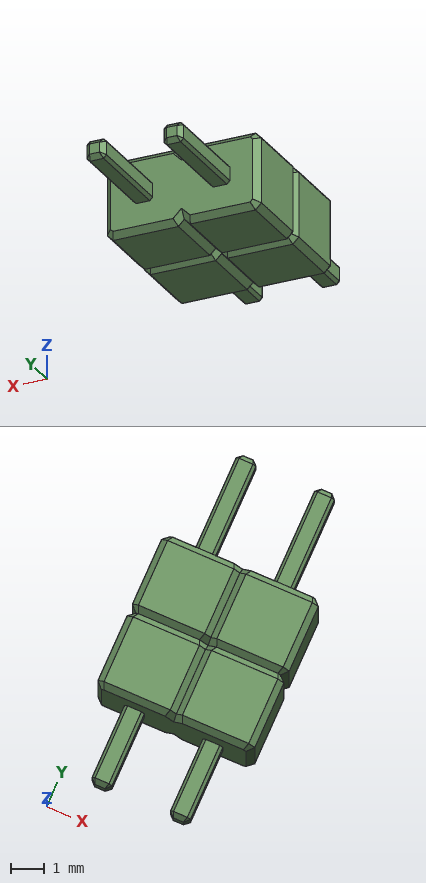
import cadquery as cq

total_length = 10.92
housing_width = 5.08
housing_height = 2.54
housing_chamfer = 0.2
pin_side = 0.64
pin_edge_chamfer = 0.1
pin_end_chamfer = 0.15
front_pin_length = 2.54

pin_pitch = housing_width / 2
row_length = pin_pitch
rear_pin_length = total_length - 2 * row_length - front_pin_length


def make_housing():
    """Two-position housing block that starts at Y = 0 and runs toward +Y."""
    half_width = housing_width / 2
    half_height = housing_height / 2
    side_z = half_height - housing_chamfer
    top_edge = [
        (-half_width, side_z),
        (-half_width + housing_chamfer, half_height),
        (-housing_chamfer, half_height),
        (0, side_z),
        (housing_chamfer, half_height),
        (half_width - housing_chamfer, half_height),
        (half_width, side_z),
    ]
    bottom_edge = [(x, -z) for x, z in reversed(top_edge)]
    block = cq.Workplane("XZ").polyline(top_edge + bottom_edge).close().extrude(-row_length)
    return block.faces("<Y or >Y").edges().chamfer(housing_chamfer)


def make_pin(x, length):
    """Square pin with bevelled edges, standing on the +Y face of the housing."""
    pin = (
        cq.Workplane("XZ", origin=(x, row_length, 0))
        .rect(pin_side, pin_side)
        .extrude(-length)
        .edges("|Y")
        .chamfer(pin_edge_chamfer)
    )
    return pin.faces(">Y").edges().chamfer(pin_end_chamfer)


def make_header_row(pin_length):
    """One body: a housing block with its two pins, pointing toward +Y."""
    row = make_housing()
    for x in (-pin_pitch / 2, pin_pitch / 2):
        row = row.union(make_pin(x, pin_length))
    return row


rear_row = make_header_row(rear_pin_length)
front_row = make_header_row(front_pin_length).mirror("XZ")

result = cq.Compound.makeCompound([rear_row.val(), front_row.val()])